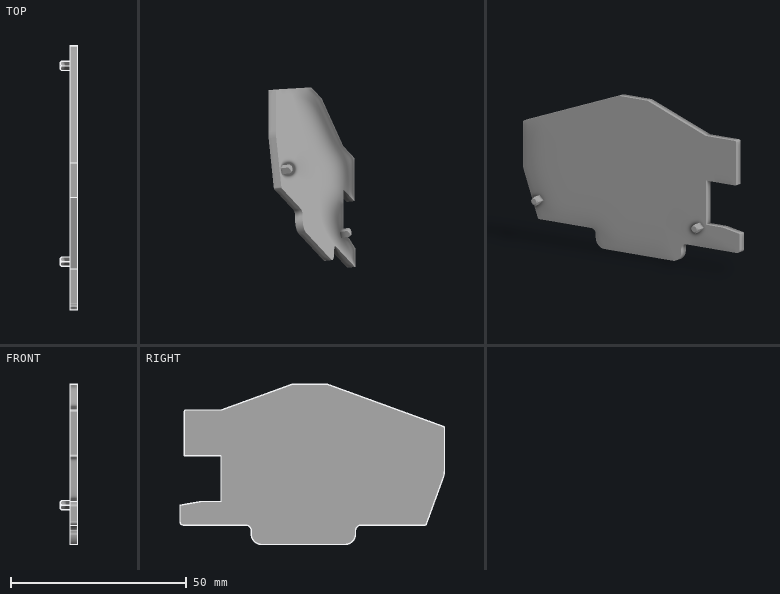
import cadquery as cq
import math

thickness = 2.3
length = 75.45
height = 45.8
rear = length / 2
front = -length / 2
small_radius = 0.2
corner_radius = 0.45
toe_radius = 1.0
rear_bend_radius = 5.0

roof_angle = math.radians(20)
ridge_rear = 4.2
ridge_front = -5.65
rear_eave = height - (rear - ridge_rear) * math.tan(roof_angle)

rear_edge_angle = math.radians(20)
floor = 5.5
floor_rear = 32.45
rear_edge_bottom = floor + (rear - floor_rear) / math.tan(rear_edge_angle)

upper_arm_top = 38.4
upper_arm_bottom = 25.3
upper_arm_front = -36.5
upper_arm_root = ridge_front - (height - upper_arm_top) / math.tan(roof_angle)
slot_end = -26.0
lower_arm_top = 12.3
lower_arm_bend = -31.8
lower_arm_angle = math.radians(10)
lower_arm_tip = lower_arm_top - (lower_arm_bend - front) * math.tan(lower_arm_angle)

tab_rear = 12.4
tab_front = -17.4
tab_root_radius = 1.5
tab_corner_radius = 3.0

peg_centres = (31.9, -23.9)
peg_height = 11.25
peg_length = 2.9
peg_side = 1.95
peg_tip_radius = 0.8
peg_corner_radius = 1.35


def make_plate():
    outline = (
        cq.Workplane("YZ")
        .moveTo(floor_rear, floor)
        .lineTo(rear, rear_edge_bottom)
        .lineTo(rear, rear_eave)
        .lineTo(ridge_rear, height)
        .lineTo(ridge_front, height)
        .lineTo(upper_arm_root, upper_arm_top)
        .lineTo(upper_arm_front, upper_arm_top)
        .lineTo(upper_arm_front, upper_arm_bottom)
        .lineTo(slot_end, upper_arm_bottom)
        .lineTo(slot_end, lower_arm_top)
        .lineTo(lower_arm_bend, lower_arm_top)
        .lineTo(front, lower_arm_tip)
        .lineTo(front, floor)
        .lineTo(tab_front - tab_root_radius, floor)
        .radiusArc((tab_front, floor - tab_root_radius), tab_root_radius)
        .lineTo(tab_front, tab_corner_radius)
        .radiusArc((tab_front + tab_corner_radius, 0), -tab_corner_radius)
        .lineTo(tab_rear - tab_corner_radius, 0)
        .radiusArc((tab_rear, tab_corner_radius), -tab_corner_radius)
        .lineTo(tab_rear, floor - tab_root_radius)
        .radiusArc((tab_rear + tab_root_radius, floor), tab_root_radius)
        .close()
    )
    return round_corners(outline.extrude(thickness))


def round_corners(plate):
    """Round the rear corners and the tips of both arms."""
    corners = (
        (floor_rear, floor, corner_radius),
        (rear, rear_edge_bottom, rear_bend_radius),
        (rear, rear_eave, corner_radius),
        (upper_arm_front, upper_arm_top, corner_radius),
        (upper_arm_front, upper_arm_bottom, small_radius),
        (front, lower_arm_tip, small_radius),
        (front, floor, toe_radius),
    )
    for y, z, radius in corners:
        edge = plate.edges("|X").edges(cq.NearestToPointSelector((thickness / 2, y, z)))
        plate = edge.fillet(radius)
    return plate


def make_peg(y):
    base = cq.Workplane("YZ", origin=(0, y, peg_height))
    square = base.transformed(rotate=(0, 0, 45)).rect(peg_side, peg_side).extrude(-peg_length)
    bevel = peg_corner_radius - peg_tip_radius
    envelope = base.circle(peg_corner_radius).extrude(-peg_length).faces("<X").chamfer(bevel)
    return square.intersect(envelope)


result = make_plate()
for peg_y in peg_centres:
    result = result.union(make_peg(peg_y))